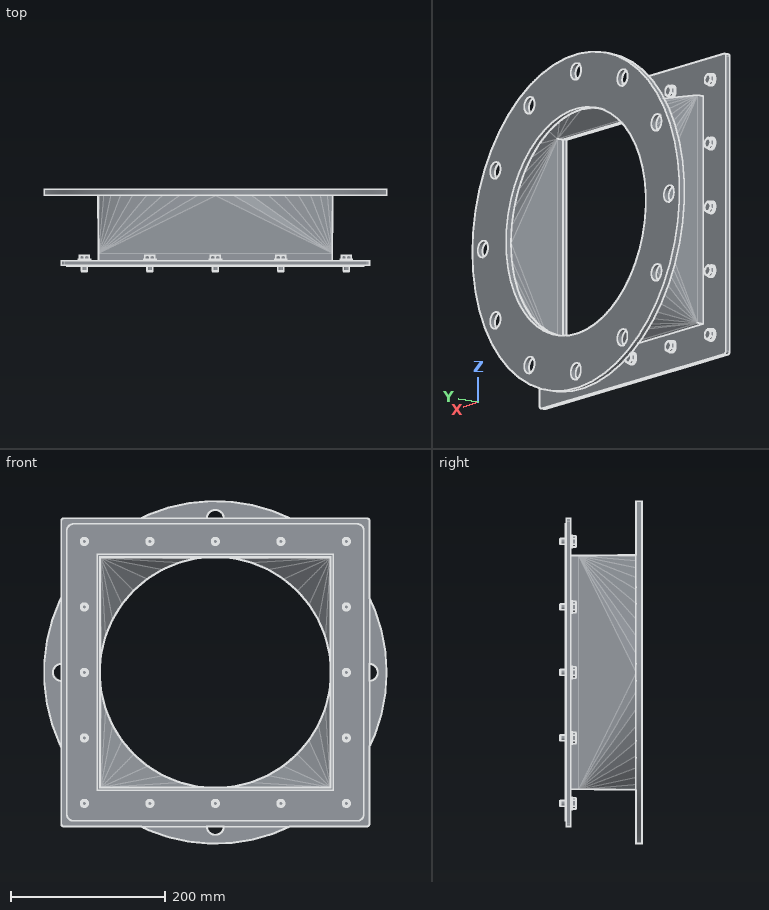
import cadquery as cq
import math


DISC_DIAMETER = 445.0
DISC_BORE = 300.0
DISC_THICKNESS = 8.0
DISC_HOLE_COUNT = 12
DISC_HOLE_DIAMETER = 22.0
DISC_HOLE_CIRCLE = 399.5

SHEET_THICKNESS = 2.5
TUBE_OUTER_SIDE = 303.5
BEND_DEPTH = 82.8
FACETS_PER_CORNER = 10

FLANGE_SIDE = 400.5
FLANGE_OPENING = 300.0
FLANGE_THICKNESS = 6.2
FLANGE_BACK_DEPTH = 92.5
FLANGE_CORNER_RADIUS = 4.0

GASKET_SIDE = 385.5
GASKET_OPENING = 306.0
GASKET_THICKNESS = 1.0
GASKET_CORNER_RADIUS = 8.5

BOLT_PITCH = 85.0
BOLTS_PER_SIDE = 5
WASHER_DIAMETER = 16.0
WASHER_THICKNESS = 2.0
HEAD_ACROSS_FLATS = 13.0
HEAD_THICKNESS = 5.5
HEAD_TOP_DIAMETER = 11.5
HEAD_CHAMFER_ANGLE = 30
STUD_DIAMETER = 8.0
STUD_CHAMFER = 1.0
GASKET_HOLE_DIAMETER = 10.0
TOTAL_DEPTH = 107.0

FLANGE_FRONT_DEPTH = FLANGE_BACK_DEPTH + FLANGE_THICKNESS


def plane_at(depth):
    """XZ workplane at a depth from the back face; extrusions go toward the front."""
    return cq.Workplane("XZ").workplane(offset=depth)


def bolt_points():
    """Bolt centres evenly spaced around the square flange."""
    reach = BOLTS_PER_SIDE // 2
    steps = range(-reach, reach + 1)
    return [
        (BOLT_PITCH * column, BOLT_PITCH * row)
        for column in steps
        for row in steps
        if reach in (abs(column), abs(row))
    ]


def round_flange():
    return (
        plane_at(0)
        .circle(DISC_DIAMETER / 2)
        .circle(DISC_BORE / 2)
        .extrude(DISC_THICKNESS)
        .cut(
            plane_at(0)
            .polarArray(DISC_HOLE_CIRCLE / 2, 0, 360, DISC_HOLE_COUNT)
            .circle(DISC_HOLE_DIAMETER / 2)
            .extrude(DISC_THICKNESS)
        )
    )


def flat_face(points):
    return cq.Face.makeFromWires(cq.Wire.makePolygon(points, close=True))


def transition_body(round_radius, square_half):
    """Solid of flat triangles between a polygonal circle and a square."""
    facet_count = 4 * FACETS_PER_CORNER
    rim = []
    for i in range(facet_count):
        angle = 2 * math.pi * i / facet_count
        x = round_radius * math.cos(angle)
        z = round_radius * math.sin(angle)
        rim.append(cq.Vector(x, -DISC_THICKNESS, z))
    corners = [
        cq.Vector(sx * square_half, -BEND_DEPTH, sz * square_half)
        for sx, sz in ((1, 1), (-1, 1), (-1, -1), (1, -1))
    ]
    faces = [flat_face(rim), flat_face(corners)]
    for i in range(facet_count):
        corner = corners[i // FACETS_PER_CORNER]
        faces.append(flat_face([rim[i], rim[(i + 1) % facet_count], corner]))
    for quarter in range(4):
        side_point = rim[quarter * FACETS_PER_CORNER]
        faces.append(flat_face([side_point, corners[quarter - 1], corners[quarter]]))
    return cq.Workplane(cq.Solid.makeSolid(cq.Shell.makeShell(faces)))


def sheet_duct():
    """Faceted transition followed by a short straight square tube."""
    tube_inner_side = TUBE_OUTER_SIDE - 2 * SHEET_THICKNESS
    bore_radius = DISC_BORE / 2
    transition = transition_body(bore_radius + SHEET_THICKNESS, TUBE_OUTER_SIDE / 2).cut(
        transition_body(bore_radius, tube_inner_side / 2)
    )
    tube = (
        plane_at(BEND_DEPTH)
        .rect(TUBE_OUTER_SIDE, TUBE_OUTER_SIDE)
        .rect(tube_inner_side, tube_inner_side)
        .extrude(FLANGE_BACK_DEPTH - BEND_DEPTH)
    )
    return transition.union(tube)


def square_frame(depth, side, opening, thickness, corner_radius):
    """Square plate with rounded outer corners and a square opening."""
    plate = plane_at(depth).rect(side, side).extrude(thickness).edges("|Y").fillet(corner_radius)
    return plate.cut(plane_at(depth).rect(opening, opening).extrude(thickness))


def square_flange():
    return square_frame(
        FLANGE_BACK_DEPTH, FLANGE_SIDE, FLANGE_OPENING, FLANGE_THICKNESS, FLANGE_CORNER_RADIUS
    )


def gasket():
    frame = square_frame(
        FLANGE_FRONT_DEPTH, GASKET_SIDE, GASKET_OPENING, GASKET_THICKNESS, GASKET_CORNER_RADIUS
    )
    holes = (
        plane_at(FLANGE_FRONT_DEPTH)
        .pushPoints(bolt_points())
        .circle(GASKET_HOLE_DIAMETER / 2)
        .extrude(GASKET_THICKNESS)
    )
    return frame.cut(holes)


def bolt():
    """One bolt on the duct axis, with a head corner pointing along Z."""
    washer_depth = FLANGE_BACK_DEPTH - WASHER_THICKNESS
    head_depth = washer_depth - HEAD_THICKNESS
    across_corners = HEAD_ACROSS_FLATS / math.cos(math.pi / 6)
    head = (
        plane_at(head_depth)
        .transformed(rotate=(0, 0, 90))
        .polygon(6, across_corners)
        .extrude(HEAD_THICKNESS)
    )
    chamfer_width = (across_corners - HEAD_TOP_DIAMETER) / 2
    chamfer_height = chamfer_width * math.tan(math.radians(HEAD_CHAMFER_ANGLE))
    chamfered_round = (
        plane_at(head_depth)
        .circle(across_corners / 2)
        .extrude(HEAD_THICKNESS)
        .faces(">Y")
        .chamfer(chamfer_height, chamfer_width)
    )
    head = head.intersect(chamfered_round)
    washer = plane_at(washer_depth).circle(WASHER_DIAMETER / 2).extrude(WASHER_THICKNESS)
    stud = (
        plane_at(FLANGE_BACK_DEPTH)
        .circle(STUD_DIAMETER / 2)
        .extrude(TOTAL_DEPTH - FLANGE_BACK_DEPTH)
        .faces("<Y")
        .chamfer(STUD_CHAMFER)
    )
    return head.union(washer).union(stud)


result = round_flange().union(sheet_duct()).union(square_flange()).union(gasket())
single_bolt = bolt()
for x, z in bolt_points():
    result = result.union(single_bolt.translate((x, 0, z)))